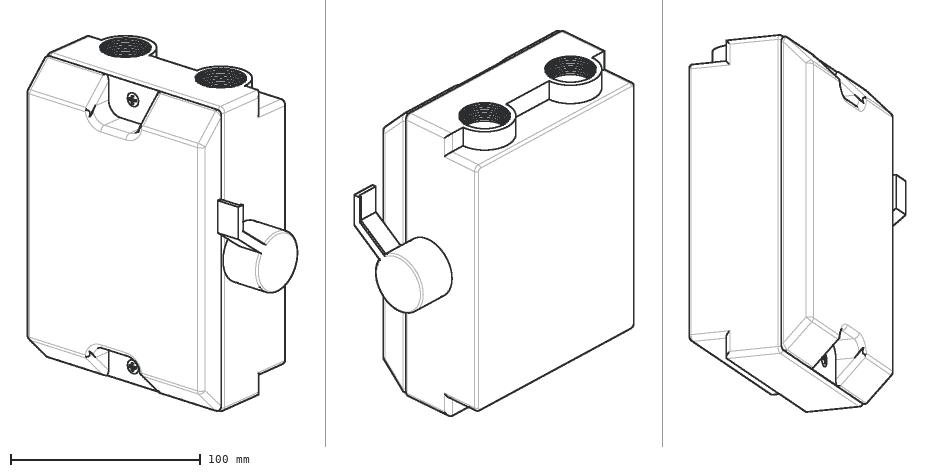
import cadquery as cq
import math

WIDTH = 121.5
DEPTH = 69.5
HEIGHT = 173.5
MID_X = WIDTH / 2
END_Z = HEIGHT / 2
SIDE_ROUND = 3.0
RIM_ROUND = 1.5

COVER_DEPTH = 17.4
SLOPE_DEPTH = 16.0
RIDGE_Z = 70.5
NOTCH_FLOOR_Y = 16.1
NOTCH_WIDTH = 33.7
NOTCH_END_Z = 63.5
NOTCH_CORNER = 8.2
CUT_OVERRUN = 3.5

STEP_Y = 49.0
STEP_HEIGHT = 11.3
STEP_Z = END_Z - STEP_HEIGHT

ENTRY_SPACING = 65.8
ENTRY_BOSS_RADIUS = 16.5
ENTRY_BORE_RADIUS = 13.4
THREAD_DEPTH = 0.5
THREAD_COUNT = 7
THREAD_PITCH = STEP_HEIGHT / THREAD_COUNT

SCREW_HEIGHTS = (-76.0, 76.0)
SCREW_RADIUS = 3.8
SCREW_DOME = 0.9
CROSS_LENGTH = 4.3
CROSS_WIDTH = 1.0
CROSS_DEPTH = 0.9

HUB_RADIUS = 17.0
HUB_LENGTH = 23.3
HUB_Y = 34.7
HUB_ROUND = 1.0
ARM_WIDTH = 14.2
ARM_THICKNESS = 3.6
ARM_DEPTH_BELOW_AXIS = 0.7
ARM_ANGLE = math.radians(36.5)
GRIP_FRONT_Y = 2.6
GRIP_THICKNESS = 2.5
GRIP_TOP_Z = 41.3
LIP_WIDTH = 1.4
LIP_HEIGHT = 1.5


def extrude_along_x(points, start, length):
    """Closed outline of (y, z) points, extruded along +X from x = start."""
    return cq.Workplane("YZ", origin=(start, 0, 0)).polyline(points).close().extrude(length)


def make_cover_block():
    """Cover outline with rounded edges; the back rounding runs straight into the slopes."""
    slope_end_z = RIDGE_Z + SLOPE_DEPTH
    outline = [
        (COVER_DEPTH, -slope_end_z),
        (SLOPE_DEPTH, -slope_end_z),
        (0, -RIDGE_Z),
        (0, RIDGE_Z),
        (SLOPE_DEPTH, slope_end_z),
        (COVER_DEPTH, slope_end_z),
    ]
    block = extrude_along_x(outline, 0, WIDTH)
    block = block.edges("|X and <Y").fillet(SIDE_ROUND)
    block = block.faces("<X or >X").edges("not(>Y)").fillet(SIDE_ROUND)
    return block.faces(">Y").edges().fillet(RIM_ROUND)


def make_notch():
    """Round-cornered pocket through the top slope, down to the notch floor."""
    top_z = END_Z + CUT_OVERRUN
    return (
        cq.Workplane("XZ", origin=(MID_X, NOTCH_FLOOR_Y, (NOTCH_END_Z + top_z) / 2))
        .rect(NOTCH_WIDTH, top_z - NOTCH_END_Z)
        .extrude(NOTCH_FLOOR_Y + CUT_OVERRUN)
        .edges("|Y and <Z")
        .fillet(NOTCH_CORNER)
    )


def rim_profile(plane):
    """Section that rounds a rim: local x runs away from the notch, local y out of the surface."""
    r = SIDE_ROUND
    midpoint = r * (1 - math.sqrt(0.5))
    return (
        cq.Workplane(plane)
        .moveTo(0, -r)
        .threePointArc((midpoint, -midpoint), (r, 0))
        .lineTo(r, CUT_OVERRUN)
        .lineTo(-CUT_OVERRUN, CUT_OVERRUN)
        .lineTo(-CUT_OVERRUN, -r)
        .close()
    )


def make_front_rim():
    """Rounding of the notch rim on the flat cover front, following the U of the notch."""
    left = MID_X - NOTCH_WIDTH / 2
    right = MID_X + NOTCH_WIDTH / 2
    arc_z = NOTCH_END_Z + NOTCH_CORNER
    inset = NOTCH_CORNER * (1 - math.sqrt(0.5))
    top_z = RIDGE_Z + 2 * SIDE_ROUND
    path = (
        cq.Workplane("XZ")
        .moveTo(left, top_z)
        .lineTo(left, arc_z)
        .threePointArc((left + inset, NOTCH_END_Z + inset), (left + NOTCH_CORNER, NOTCH_END_Z))
        .lineTo(right - NOTCH_CORNER, NOTCH_END_Z)
        .threePointArc((right - inset, NOTCH_END_Z + inset), (right, arc_z))
        .lineTo(right, top_z)
    )
    plane = cq.Plane(origin=(left, 0, top_z), xDir=(-1, 0, 0), normal=(0, 0, 1))
    return rim_profile(plane).sweep(path)


def make_slope_rim(side):
    """Rounding of one notch rim (side = -1 or 1) along the slope, stopping at the notch floor."""
    start = (MID_X + side * NOTCH_WIDTH / 2, -CUT_OVERRUN, RIDGE_Z - CUT_OVERRUN)
    length = math.sqrt(2) * (COVER_DEPTH + 2 * CUT_OVERRUN)
    plane = cq.Plane(origin=start, xDir=(side, 0, 0), normal=(0, -side, -side))
    rounding = rim_profile(plane).extrude(-side * length)
    above_floor = cq.Workplane("XY").box(2 * WIDTH, 2 * NOTCH_FLOOR_Y, 2 * HEIGHT)
    return rounding.intersect(above_floor)


def make_cover():
    """Sloped block with a rounded-rim notch and a screw hole at each end."""
    cover = make_cover_block()
    cutters = [make_notch(), make_front_rim(), make_slope_rim(-1), make_slope_rim(1)]
    for cutter in cutters:
        cover = cover.cut(cutter).cut(cutter.mirror("XY"))
    for z in SCREW_HEIGHTS:
        hole = cq.Workplane("XZ", origin=(MID_X, COVER_DEPTH, z)).circle(SCREW_RADIUS)
        cover = cover.cut(hole.extrude(COVER_DEPTH))
    return cover


def make_screw(z):
    """Domed screw head with a cross recess, filling the screw hole in the notch floor."""
    tip = COVER_DEPTH - NOTCH_FLOOR_Y + SCREW_DOME
    sphere_radius = (SCREW_RADIUS**2 + SCREW_DOME**2) / (2 * SCREW_DOME)
    head = cq.Workplane("XZ", origin=(MID_X, COVER_DEPTH, z)).circle(SCREW_RADIUS).extrude(tip)
    sphere = cq.Workplane("XY").sphere(sphere_radius)
    head = head.intersect(sphere.translate((MID_X, COVER_DEPTH - tip + sphere_radius, z)))
    slot = (
        cq.Workplane("XZ", origin=(MID_X, COVER_DEPTH - tip + CROSS_DEPTH, z))
        .rect(CROSS_LENGTH, CROSS_WIDTH)
        .extrude(CROSS_DEPTH)
    )
    cross = slot.union(slot.rotate((MID_X, 0, z), (MID_X, 1, z), 90))
    return head.cut(cross)


def make_housing_block():
    """Housing outline with its side edges and its front and back rims rounded."""
    outline = [
        (COVER_DEPTH, -END_Z),
        (STEP_Y, -END_Z),
        (STEP_Y, -STEP_Z),
        (DEPTH, -STEP_Z),
        (DEPTH, STEP_Z),
        (STEP_Y, STEP_Z),
        (STEP_Y, END_Z),
        (COVER_DEPTH, END_Z),
    ]
    block = extrude_along_x(outline, 0, WIDTH)
    block = block.faces("<X or >X").edges("not(<Y or >Y)").fillet(SIDE_ROUND)
    return block.faces("<Y or >Y").edges().fillet(RIM_ROUND)


def make_entry_bore():
    """Bore with V-shaped thread rings, standing on the XY plane."""
    bore = cq.Workplane("XZ").lineTo(ENTRY_BORE_RADIUS, 0)
    for ring in range(THREAD_COUNT):
        base = ring * THREAD_PITCH
        bore = bore.lineTo(ENTRY_BORE_RADIUS + THREAD_DEPTH, base + THREAD_PITCH / 2)
        bore = bore.lineTo(ENTRY_BORE_RADIUS, base + THREAD_PITCH)
    return bore.lineTo(0, STEP_HEIGHT).close().revolve(360, (0, 0), (0, 1))


def make_housing():
    """Stepped block with two bossed, threaded conduit entries on its top step."""
    housing = make_housing_block()
    for side in (-1, 1):
        place = (MID_X + side * ENTRY_SPACING / 2, STEP_Y, STEP_Z)
        boss = cq.Workplane("XY", origin=place).circle(ENTRY_BOSS_RADIUS).extrude(STEP_HEIGHT)
        housing = housing.union(boss).cut(make_entry_bore().translate(place))
    return housing


def make_lever(width, raised_by):
    """Slanted arm and upright grip plate, flush with the hub end, thickened at the rear by raised_by."""
    rise = math.tan(ARM_ANGLE)
    below = ARM_DEPTH_BELOW_AXIS / math.cos(ARM_ANGLE)
    above = (ARM_THICKNESS - ARM_DEPTH_BELOW_AXIS + raised_by) / math.cos(ARM_ANGLE)
    root_y = HUB_Y - HUB_RADIUS / 2
    grip_back_y = GRIP_FRONT_Y + GRIP_THICKNESS + raised_by
    outline = [
        (GRIP_FRONT_Y, GRIP_TOP_Z),
        (GRIP_FRONT_Y, rise * (HUB_Y - GRIP_FRONT_Y) - below),
        (root_y, rise * (HUB_Y - root_y) - below),
        (root_y, rise * (HUB_Y - root_y) + above),
        (grip_back_y, rise * (HUB_Y - grip_back_y) + above),
        (grip_back_y, GRIP_TOP_Z),
    ]
    return extrude_along_x(outline, WIDTH + HUB_LENGTH - width, width)


def make_handle():
    """Round hub with a lever that carries a thin raised lip along its outer end."""
    hub = (
        cq.Workplane("YZ", origin=(WIDTH, HUB_Y, 0))
        .circle(HUB_RADIUS)
        .extrude(HUB_LENGTH)
        .faces(">X")
        .edges()
        .fillet(HUB_ROUND)
    )
    return hub.union(make_lever(ARM_WIDTH, 0)).union(make_lever(LIP_WIDTH, LIP_HEIGHT))


cover = make_cover()
housing = make_housing()
handle = make_handle()
screws = [make_screw(z) for z in SCREW_HEIGHTS]

result = cq.Compound.makeCompound(
    [cover.val(), housing.val(), handle.val(), *[screw.val() for screw in screws]]
)